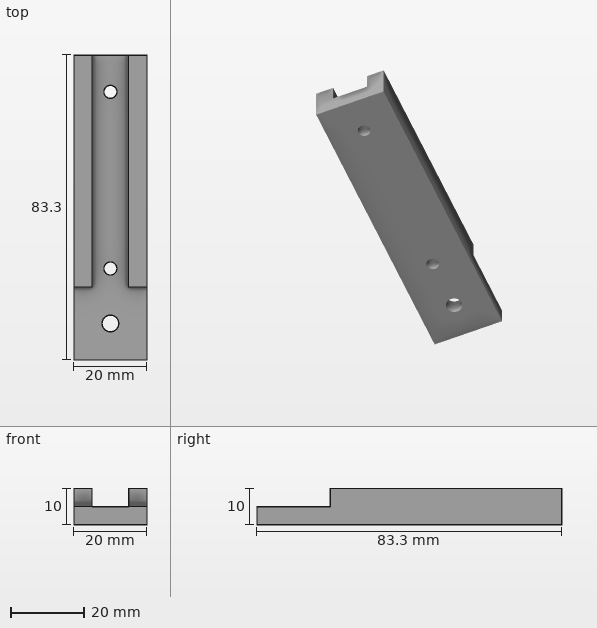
import cadquery as cq

width = 20.0
length = 83.26
base_thickness = 5.0

rail_width = 5.0
rail_height = 5.0
tongue_length = 20.0
rail_length = length - tongue_length

channel_hole_diameter = 3.5
tongue_hole_diameter = 4.5
end_hole_inset = 10.0
rail_front_to_hole = 5.0

front_y = -length / 2
back_y = length / 2
rail_front_y = front_y + tongue_length


def make_base():
    return cq.Workplane("XY").box(width, length, base_thickness, centered=(True, True, False))


def make_rail(side):
    """Rail on the +X (side = 1) or -X (side = -1) edge of the base."""
    rail_x = side * (width - rail_width) / 2
    rail_y = (rail_front_y + back_y) / 2
    return (
        cq.Workplane("XY", origin=(rail_x, rail_y, base_thickness))
        .box(rail_width, rail_length, rail_height, centered=(True, True, False))
    )


def make_hole(y, diameter):
    return cq.Workplane("XY", origin=(0, y, 0)).circle(diameter / 2).extrude(base_thickness)


result = make_base()
for side in (-1, 1):
    result = result.union(make_rail(side))

holes = [
    (front_y + end_hole_inset, tongue_hole_diameter),
    (rail_front_y + rail_front_to_hole, channel_hole_diameter),
    (back_y - end_hole_inset, channel_hole_diameter),
]
for hole_y, hole_diameter in holes:
    result = result.cut(make_hole(hole_y, hole_diameter))